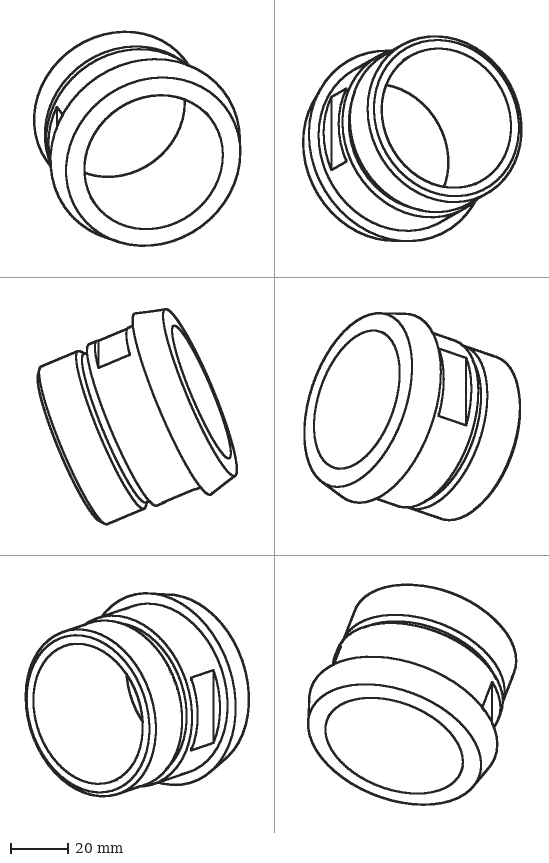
import cadquery as cq

length = 50.0
bore_diameter = 50.0
spigot_diameter = 59.6
groove_diameter = 56.1
body_diameter = 61.0
collar_diameter = 68.5
collar_end_diameter = 62.95

chamfer_length = 1.45
groove_end = 20.0
groove_width = 3.0
spigot_end = groove_end - groove_width - chamfer_length
collar_start = 39.05
end_cone_length = 0.55

flat_start = 23.0
flat_width = 12.0
across_flats = 55.0


def make_sleeve():
    """Revolve the stepped wall section about the X axis."""
    bore_radius = bore_diameter / 2
    spigot_radius = spigot_diameter / 2
    groove_radius = groove_diameter / 2
    body_radius = body_diameter / 2
    section = [
        (0, bore_radius),
        (0, groove_radius),
        (chamfer_length, spigot_radius),
        (spigot_end, spigot_radius),
        (spigot_end + chamfer_length, groove_radius),
        (groove_end, groove_radius),
        (groove_end, body_radius),
        (collar_start, body_radius),
        (collar_start, collar_diameter / 2),
        (length - end_cone_length, collar_end_diameter / 2),
        (length, bore_radius),
    ]
    return cq.Workplane("XY").polyline(section).close().revolve(360, (0, 0), (1, 0))


def make_flat_cutter(side):
    """Block that removes everything beyond one flat; side is -1 or +1 along Y."""
    cutter_depth = body_diameter - across_flats
    cutter_y = side * (across_flats + cutter_depth) / 2
    return cq.Workplane("XY").box(flat_width, cutter_depth, body_diameter).translate(
        (flat_start + flat_width / 2, cutter_y, 0)
    )


result = make_sleeve()
for side in (-1, 1):
    result = result.cut(make_flat_cutter(side))